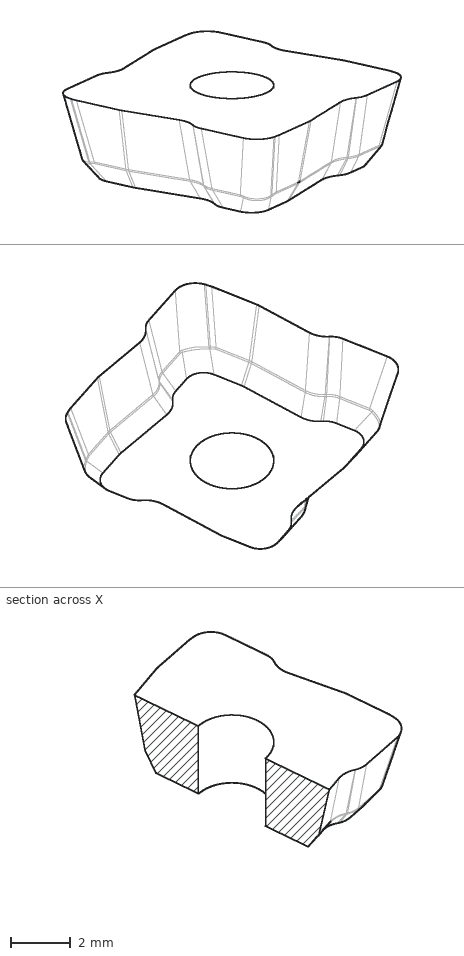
import cadquery as cq
import math

WIDTH = 8.6
HEIGHT = 3.0
HOLE_DIAMETER = 2.8

CLEARANCE_ANGLE = math.radians(11)
RELIEF_ANGLE = math.radians(31)
BREAK_HEIGHT = 0.76
BREAK_RADIUS = 0.2
EDGE_ZONE_MARGIN = 0.17
TRIM_HEIGHT = 0.9

RAMP_ANGLE = math.radians(8)
WALL_ANGLE = math.radians(35)
RAMP_START = -1.56
WALL_FOOT = 1.52
SHOULDER_RADIUS = 0.76
VALLEY_RADIUS = 0.95

CORNER_RADIUS = 0.79
RELIEF_CORNER_RADIUS = 0.67
OUTER_FACET_START = 0.94
INNER_FACET_START = 0.72
OUTER_FACET_ANGLE = math.radians(5.5)
INNER_FACET_ANGLE = math.radians(9)


def corner_vertices(half, faceted):
    """Vertices (x, y, rounding radius) of the left corner of the front side."""
    if not faceted:
        return [(-half, -half, RELIEF_CORNER_RADIUS)]
    outer_rise = (OUTER_FACET_START - INNER_FACET_START) * math.tan(OUTER_FACET_ANGLE)
    inner_rise = INNER_FACET_START * math.tan(INNER_FACET_ANGLE)
    return [
        (-half, -half + outer_rise + inner_rise, CORNER_RADIUS),
        (-half + INNER_FACET_START, -half + outer_rise, 0),
        (-half + OUTER_FACET_START, -half, 0),
    ]


def notch_vertices(half, inset):
    """Vertices (x, y, rounding radius) of the front notch, its faces moved inwards by inset."""
    ramp_start = RAMP_START - inset * math.tan(RAMP_ANGLE / 2)
    wall_foot = WALL_FOOT + inset * math.tan(WALL_ANGLE / 2)
    ramp_slope = math.tan(RAMP_ANGLE)
    wall_slope = math.tan(WALL_ANGLE)
    valley_x = (ramp_slope * ramp_start + wall_slope * wall_foot) / (ramp_slope + wall_slope)
    valley_y = -half + ramp_slope * (valley_x - ramp_start)
    return [
        (ramp_start, -half, SHOULDER_RADIUS),
        (valley_x, valley_y, VALLEY_RADIUS),
        (wall_foot, -half, SHOULDER_RADIUS),
    ]


def rounding_points(before, vertex, after, radius):
    """Start, middle and end of the arc that rounds a vertex."""
    corner = cq.Vector(*vertex)
    to_before = (cq.Vector(*before) - corner).normalized()
    to_after = (cq.Vector(*after) - corner).normalized()
    half_angle = to_before.getAngle(to_after) / 2
    setback = radius / math.tan(half_angle)
    bisector = (to_before + to_after).normalized()
    middle = corner + bisector * (radius / math.sin(half_angle) - radius)
    return corner + to_before * setback, middle, corner + to_after * setback


def outline(inset, height, faceted):
    """Closed outline of the insert at a height, its sides moved inwards by inset."""
    half = WIDTH / 2 - inset
    side = corner_vertices(half, faceted) + notch_vertices(half, inset)
    vertices = []
    for _ in range(4):
        vertices += [(x, y, height, radius) for x, y, radius in side]
        side = [(-y, x, radius) for x, y, radius in side]

    path_points = []
    for index, (*vertex, radius) in enumerate(vertices):
        before = vertices[index - 1][:3]
        after = vertices[(index + 1) % len(vertices)][:3]
        if radius:
            path_points.append(rounding_points(before, vertex, after, radius))
        else:
            path_points.append((cq.Vector(*vertex),))

    edges = []
    for points, following in zip(path_points, path_points[1:] + path_points[:1]):
        if len(points) == 3:
            edges.append(cq.Edge.makeThreePointArc(*points))
        edges.append(cq.Edge.makeLine(points[-1], following[0]))
    return cq.Wire.assembleEdges(edges)


def ruled_body(lower_outline, upper_outline):
    """Solid with straight-line flanks between two outlines."""
    return cq.Workplane(obj=cq.Solid.makeLoft([lower_outline, upper_outline], True))


clearance_inset = HEIGHT * math.tan(CLEARANCE_ANGLE)
body = ruled_body(
    outline(clearance_inset, 0, faceted=True),
    outline(0, HEIGHT, faceted=True),
)

break_inset = (HEIGHT - BREAK_HEIGHT) * math.tan(CLEARANCE_ANGLE)
bottom_inset = break_inset + BREAK_HEIGHT * math.tan(RELIEF_ANGLE)
trim_inset = bottom_inset - TRIM_HEIGHT * math.tan(RELIEF_ANGLE)
relief_core = ruled_body(
    outline(bottom_inset, 0, faceted=False),
    outline(trim_inset, TRIM_HEIGHT, faceted=False),
)
trim_block = cq.Workplane().rect(2 * WIDTH, 2 * WIDTH).extrude(TRIM_HEIGHT).cut(relief_core)
body = body.cut(trim_block)

edge_zone = cq.selectors.BoxSelector(
    (-WIDTH, -WIDTH, BREAK_HEIGHT - EDGE_ZONE_MARGIN),
    (WIDTH, WIDTH, BREAK_HEIGHT + EDGE_ZONE_MARGIN),
    boundingbox=True,
)
body = body.edges(edge_zone).fillet(BREAK_RADIUS)

hole = cq.Workplane().circle(HOLE_DIAMETER / 2).extrude(HEIGHT)
result = body.cut(hole)